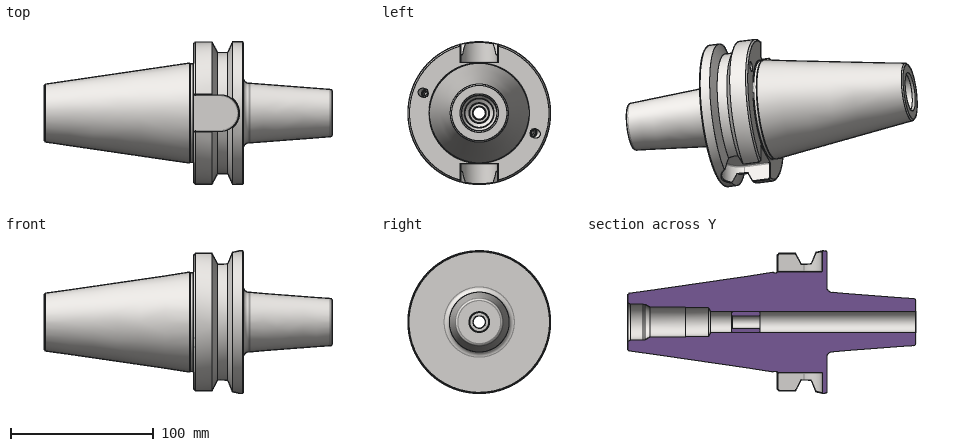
import cadquery as cq
import math

total_length = 201.8

taper_length = 101.7
taper_small_radius = 20.4
gauge_radius = 35.1
taper_edge_chamfer = 1.0
relief_radius = 34.7
relief_chamfer = 0.6
relief_fillet = 0.6

flange_front = 104.7
flange_rear = 139.6
flange_radius = 50.0
flange_front_chamfer = 1.2
flange_rear_chamfer = 0.8
groove_floor_radius = 42.5
groove_start = 117.5
groove_floor_start = 121.5
groove_floor_end = 128.5
groove_end = 132.0

collar_radius = 21.0
collar_end = 144.0
collar_fillet = 3.6
nose_end_radius = 16.5
nose_fillet = 1.6

bore_mouth_radius = 13.5
bore_mouth_length = 1.8
pilot_radius = 12.5
pilot_depth = 10.9
seat_radius = 12.3
seat_length = 1.5
thread_radius = 10.4
thread_depth = 40.4
drill_radius = 9.99
drill_depth = 56.5
screw_hole_radius = 7.3
drill_half_angle = 59.0
seat_half_angle = 30.0

stop_screw_start = 72.6
stop_screw_length = 20.2
stop_screw_bore_radius = 4.2
stop_screw_chamfer = 0.6
stop_screw_bore_chamfer = 0.6

half_turns = (0, 180)

slot_width = 25.6
slot_floor = 35.3
slot_end = 136.2
slot_floor_fillet = 0.6
slot_edge_chamfer = 0.6

coolant_circle_radius = 41.8
coolant_angle = 20.0
coolant_tilt = 30.0
coolant_hole_diameter = 6.3
grub_diameter = 6.0
grub_length = 6.0
grub_recess = 2.6
grub_chamfer = 0.5
hex_across_flats = 3.0
hex_depth = 2.5

tolerance = 0.02


def cone_run(large_radius, small_radius, half_angle):
    """Axial length of a cone between two radii."""
    return (large_radius - small_radius) / math.tan(math.radians(half_angle))


def make_outer_body():
    outline = (
        cq.Workplane("XY")
        .moveTo(0, 0)
        .lineTo(0, taper_small_radius - taper_edge_chamfer)
        .lineTo(taper_edge_chamfer, taper_small_radius)
        .lineTo(taper_length, gauge_radius)
        .lineTo(taper_length + relief_chamfer, relief_radius)
        .lineTo(flange_front - relief_fillet, relief_radius)
        .radiusArc((flange_front, relief_radius + relief_fillet), -relief_fillet)
        .lineTo(flange_front, flange_radius - flange_front_chamfer)
        .lineTo(flange_front + flange_front_chamfer, flange_radius)
        .lineTo(groove_start, flange_radius)
        .lineTo(groove_floor_start, groove_floor_radius)
        .lineTo(groove_floor_end, groove_floor_radius)
        .lineTo(groove_end, flange_radius)
        .lineTo(flange_rear - flange_rear_chamfer, flange_radius)
        .lineTo(flange_rear, flange_radius - flange_rear_chamfer)
        .lineTo(flange_rear, collar_radius + collar_fillet)
        .radiusArc((flange_rear + collar_fillet, collar_radius), -collar_fillet)
        .lineTo(collar_end, collar_radius)
        .lineTo(total_length, nose_end_radius)
        .lineTo(total_length, 0)
        .close()
    )
    body = outline.revolve(360, (0, 0, 0), (1, 0, 0))
    return body.faces(">X").edges().fillet(nose_fillet)


def make_axial_bore():
    seat_end = pilot_depth + seat_length
    thread_start = seat_end + cone_run(seat_radius, thread_radius, seat_half_angle)
    cone_end = drill_depth + cone_run(drill_radius, screw_hole_radius, drill_half_angle)
    outline = (
        cq.Workplane("XY")
        .moveTo(0, 0)
        .lineTo(0, bore_mouth_radius)
        .lineTo(bore_mouth_length, pilot_radius)
        .lineTo(pilot_depth, pilot_radius)
        .lineTo(pilot_depth, seat_radius)
        .lineTo(seat_end, seat_radius)
        .lineTo(thread_start, thread_radius)
        .lineTo(thread_depth, thread_radius)
        .lineTo(thread_depth, drill_radius)
        .lineTo(drill_depth, drill_radius)
        .lineTo(cone_end, screw_hole_radius)
        .lineTo(total_length, screw_hole_radius)
        .lineTo(total_length, 0)
        .close()
    )
    return outline.revolve(360, (0, 0, 0), (1, 0, 0))


def make_drive_slot():
    half_width = slot_width / 2
    arc_start = slot_end - half_width
    return (
        cq.Workplane("XY", origin=(0, 0, slot_floor))
        .moveTo(flange_front, -half_width)
        .lineTo(arc_start, -half_width)
        .threePointArc((slot_end, 0), (arc_start, half_width))
        .lineTo(flange_front, half_width)
        .close()
        .extrude(flange_radius)
    )


def is_slot_edge(edge):
    """True for the edges of both drive slots, from the floor outward."""
    box = edge.BoundingBox()
    in_width = max(box.ymax, -box.ymin) < slot_width / 2 + tolerance
    above_floor = min(abs(box.zmin), abs(box.zmax)) > slot_floor - tolerance
    return in_width and above_floor and box.xmax < slot_end + tolerance


def is_on_slot_floor(edge):
    return edge.BoundingBox().zlen < tolerance and abs(edge.Center().z) < slot_floor + tolerance


def is_slot_mouth_edge(edge):
    """True where a slot wall meets the front face or the largest diameter of the flange."""
    box = edge.BoundingBox()
    on_front_land = box.ylen < tolerance and box.xmax < groove_start + tolerance
    on_rear_rim = box.xmin > groove_end - tolerance
    return is_slot_edge(edge) and not is_on_slot_floor(edge) and (on_front_land or on_rear_rim)


def is_slot_floor_corner(edge):
    """True where a slot wall meets the slot floor; the open front edge of the floor stays sharp."""
    return is_slot_edge(edge) and is_on_slot_floor(edge) and edge.BoundingBox().xlen > tolerance


def cut_drive_slots(body):
    for turn in half_turns:
        body = body.cut(make_drive_slot().rotate((0, 0, 0), (1, 0, 0), turn))
    mouth_edges = [edge for edge in body.edges().vals() if is_slot_mouth_edge(edge)]
    body = body.newObject(mouth_edges).chamfer(slot_edge_chamfer)
    floor_corners = [edge for edge in body.edges().vals() if is_slot_floor_corner(edge)]
    return body.newObject(floor_corners).fillet(slot_floor_fillet)


def place_in_coolant_hole(shape, turn):
    """Lay a shape built along +X from the origin into an inclined hole."""
    return (
        shape.rotate((0, 0, 0), (0, 0, 1), -coolant_tilt)
        .translate((flange_front, coolant_circle_radius, 0))
        .rotate((0, 0, 0), (1, 0, 0), coolant_angle + turn)
    )


def make_coolant_hole():
    overshoot = coolant_hole_diameter
    return (
        cq.Workplane("YZ", origin=(-overshoot, 0, 0))
        .circle(coolant_hole_diameter / 2)
        .extrude(overshoot + grub_recess + grub_length)
    )


def make_grub_screw():
    hex_diameter = hex_across_flats / math.cos(math.radians(30))
    blank = (
        cq.Workplane("YZ", origin=(grub_recess, 0, 0))
        .circle(grub_diameter / 2)
        .extrude(grub_length)
        .faces("<X or >X").edges().chamfer(grub_chamfer)
    )
    socket = (
        cq.Workplane("YZ", origin=(grub_recess, 0, 0))
        .polygon(6, hex_diameter)
        .extrude(hex_depth)
    )
    return blank.cut(socket)


def make_stop_screw():
    blank = (
        cq.Workplane("YZ", origin=(stop_screw_start, 0, 0))
        .circle(screw_hole_radius)
        .extrude(stop_screw_length)
        .faces("<X or >X").edges().chamfer(stop_screw_chamfer)
    )
    mouth_radius = stop_screw_bore_radius + stop_screw_bore_chamfer
    bore = (
        cq.Workplane("XY", origin=(stop_screw_start, 0, 0))
        .lineTo(0, mouth_radius)
        .lineTo(stop_screw_bore_chamfer, stop_screw_bore_radius)
        .lineTo(stop_screw_length, stop_screw_bore_radius)
        .lineTo(stop_screw_length, 0)
        .close()
        .revolve(360, (0, 0, 0), (1, 0, 0))
    )
    return blank.cut(bore)


holder = cut_drive_slots(make_outer_body().cut(make_axial_bore()))
for turn in half_turns:
    holder = holder.cut(place_in_coolant_hole(make_coolant_hole(), turn))

grub_screws = [place_in_coolant_hole(make_grub_screw(), turn).val() for turn in half_turns]
stop_screw = make_stop_screw()

result = cq.Compound.makeCompound([holder.val(), *grub_screws, stop_screw.val()])